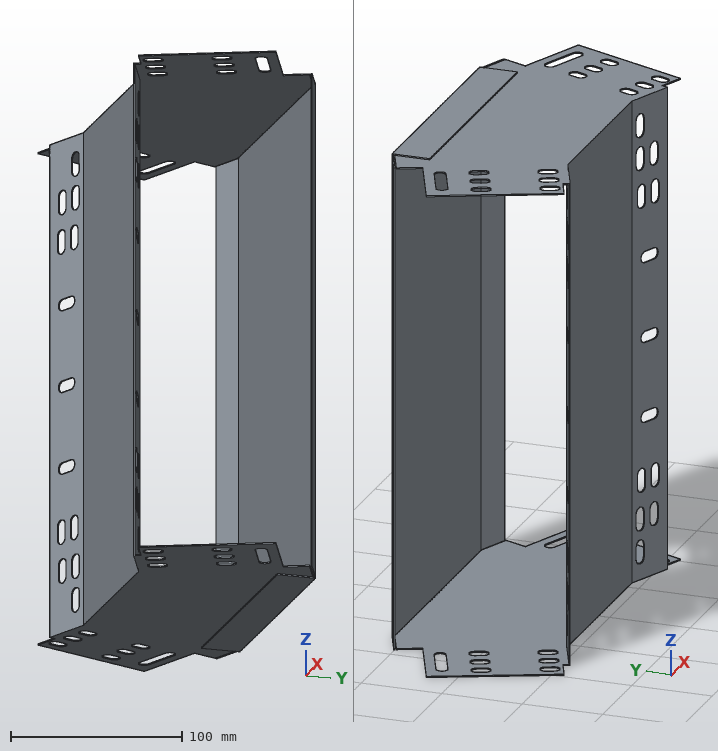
import cadquery as cq
import math


overall_height = 303.2
sheet = 0.8
turn = math.radians(22.5)
cover_face_y = 58.0
cover_fold_x = 75.2
shoulder_run = 21.0
tray_height = overall_height - 2 * sheet

web_depth = 102.0
web_run = 51.2
flange_setback = 2 * sheet
tongue_run = 67.0
tongue_top_depth = 17.0
tongue_bottom_depth = 97.5

flap_depth = 23.3

slot_width = 7.0
flange_long_slot_length = 30.3
flange_long_slot_place = (43.7, 26.7)
flange_slot_length = 11.8
flange_slot_pitch = 13.5
flange_slot_middle_run = 44.5
flange_slot_runs = [flange_slot_middle_run + step * flange_slot_pitch for step in (-1, 0, 1)]
flange_slot_depths = (49.5, 89.7)
web_slot_length = 15.0
upright_slot_places = (
    (7.3, 133.5),
    (7.3, 112.8),
    (19.5, 112.8),
    (8.5, 88.8),
    (20.3, 88.8),
)
level_slot_fold_distance = 15.5
level_slot_pitch = 50.0
level_slot_heights = [step * level_slot_pitch for step in (-1, 0, 1)]


def fold_point(depth):
    """Point on the right-hand fold line, which halves the angle of the turn."""
    return (cover_fold_x - depth * math.tan(turn / 2), cover_face_y - depth)


def wing_point(run, depth):
    """Point on the right-hand wing."""
    x = cover_fold_x + run * math.cos(turn) - depth * math.sin(turn)
    y = cover_face_y - run * math.sin(turn) - depth * math.cos(turn)
    return (x, y)


def symmetric_prism(right_points, height, bottom):
    """Upright prism whose outline is the given right half and its mirror image."""
    left_points = [(-x, y) for x, y in reversed(right_points)]
    outline = cq.Workplane("XY", origin=(0, 0, bottom)).polyline(right_points + left_points)
    return outline.close().extrude(height)


def folded_wall(outer_depth, run, height):
    """Upright wall that follows both folds and ends at the given run."""
    inner_depth = outer_depth + sheet
    right_points = [
        fold_point(outer_depth),
        wing_point(run, outer_depth),
        wing_point(run, inner_depth),
        fold_point(inner_depth),
    ]
    return symmetric_prism(right_points, height, -height / 2)


def both_sides(cutter):
    """The cutter and its mirror image on the other wing."""
    return cutter.union(cutter.mirror("YZ"))


def tray_flange(bottom):
    """Flange whose wings narrow to tongues that reach past the web and the cover."""
    right_points = [
        fold_point(flange_setback),
        wing_point(shoulder_run, flange_setback),
        wing_point(shoulder_run, tongue_top_depth),
        wing_point(tongue_run, tongue_top_depth),
        wing_point(tongue_run, tongue_bottom_depth),
        wing_point(web_run, tongue_bottom_depth),
        wing_point(web_run, web_depth),
        fold_point(web_depth),
    ]
    return symmetric_prism(right_points, sheet, bottom)


def flange_slot(run, depth, length, angle):
    """Slot cutter through both flanges; the angle is measured from the run direction."""
    slot_angle = angle - math.degrees(turn)
    x, y = wing_point(run, depth)
    cutter = cq.Workplane("XY").slot2D(length, slot_width, slot_angle).extrude(overall_height, both=True)
    return both_sides(cutter.translate((x, y, 0)))


def web_slot(fold_distance, height, angle):
    """Slot cutter square through the wings of the web; the angle is measured from level."""
    fold_x, fold_y = fold_point(web_depth)
    along_wing = (math.cos(turn), -math.sin(turn), 0)
    square_to_wing = (-math.sin(turn), -math.cos(turn), 0)
    centre = (fold_x + fold_distance * along_wing[0], fold_y + fold_distance * along_wing[1], height)
    wing_plane = cq.Plane(origin=centre, xDir=along_wing, normal=square_to_wing)
    cutter = cq.Workplane(wing_plane).slot2D(web_slot_length, slot_width, angle)
    return both_sides(cutter.extrude(2 * sheet, both=True))


def make_tray():
    """Web, two flanges and all the slots."""
    tray = folded_wall(web_depth - sheet, web_run, tray_height)
    tray = tray.union(tray_flange(tray_height / 2 - sheet))
    tray = tray.union(tray_flange(-tray_height / 2))

    tray = tray.cut(flange_slot(*flange_long_slot_place, flange_long_slot_length, 0))
    for run in flange_slot_runs:
        for depth in flange_slot_depths:
            tray = tray.cut(flange_slot(run, depth, flange_slot_length, 90))

    for fold_distance, height in upright_slot_places:
        for side in (-1, 1):
            tray = tray.cut(web_slot(fold_distance, side * height, 90))
    for height in level_slot_heights:
        tray = tray.cut(web_slot(level_slot_fold_distance, height, 0))
    return tray


def make_cover():
    """Folded plate as high as the tray, with a flap over each flange."""
    cover = folded_wall(0, shoulder_run, tray_height)
    flap_corners = [(cover_fold_x, cover_face_y), (cover_fold_x, cover_face_y - flap_depth)]
    for bottom in (-overall_height / 2, overall_height / 2 - sheet):
        cover = cover.union(symmetric_prism(flap_corners, sheet, bottom))
    return cover


tray = make_tray()
cover = make_cover()
result = cq.Compound.makeCompound([tray.val(), cover.val()])